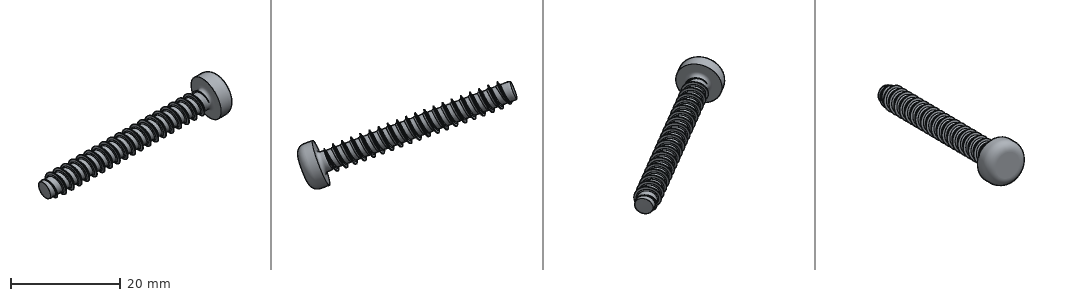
import cadquery as cq
import math


total_length = 41.5
full_turns = 18
full_turns_length = 32.4
pitch = full_turns_length / full_turns

head_radius = 4.4
head_height = 3.5
head_round = 1.8

shank_length = total_length - head_height
neck_radius = 1.95
neck_fillet = 0.7
neck_end_depth = 1.25
core_radius = 1.83
core_start_depth = 1.75
tip_chamfer_length = 0.37
tip_chamfer_width = 0.1
tip_point_height = 0.1

crest_radius = 2.5
crest_half_width = 0.1
kink_radius = 2.05
kink_half_width = 0.185
foot_radius = 1.65
foot_head_width = 0.9
foot_tip_width = 0.5

first_top_depth = 1.08
run_in_length = 2.0
run_out_length = 2.07
thread_end_gap = 0.15
faded_scale = 0.05
points_per_turn = 24

thread_start = 0.12
full_start = thread_start + run_in_length
thread_end = shank_length - thread_end_gap
full_end = thread_end - run_out_length


def make_blank():
    """Head, neck and core as one turned body."""
    tip_edge = -shank_length + tip_point_height
    head_arc_inset = head_round * (1 - math.sqrt(0.5))
    neck_arc_inset = neck_fillet * (1 - math.sqrt(0.5))
    half_outline = (
        cq.Workplane("YZ")
        .moveTo(head_height, 0)
        .lineTo(head_height, head_radius - head_round)
        .threePointArc(
            (head_height - head_arc_inset, head_radius - head_arc_inset),
            (head_height - head_round, head_radius),
        )
        .lineTo(0, head_radius)
        .lineTo(0, neck_radius + neck_fillet)
        .threePointArc(
            (-neck_arc_inset, neck_radius + neck_arc_inset),
            (-neck_fillet, neck_radius),
        )
        .lineTo(-neck_end_depth, neck_radius)
        .lineTo(-core_start_depth, core_radius)
        .lineTo(tip_edge + tip_chamfer_length, core_radius)
        .lineTo(tip_edge, core_radius - tip_chamfer_width)
        .lineTo(-shank_length, 0)
        .close()
    )
    return half_outline.revolve(360, (0, 0, 0), (1, 0, 0))


def helix_edge(radius, offset, start, end, start_scale, end_scale):
    """Right-hand helix for one section corner, with the section scaled along the run."""
    count = math.ceil(points_per_turn * (end - start) / pitch)
    points = []
    for i in range(count + 1):
        share = i / count
        depth = start + (end - start) * share
        scale = start_scale + (end_scale - start_scale) * share
        angle = 2 * math.pi * (depth - first_top_depth) / pitch
        local_radius = foot_radius + (radius - foot_radius) * scale
        x = -local_radius * math.sin(angle)
        y = -(depth + offset * scale)
        z = local_radius * math.cos(angle)
        points.append(cq.Vector(x, y, z))
    return cq.Edge.makeSpline(points)


def make_ridge(start, end, start_scale, end_scale):
    """Stretch of thread ridge between two depths, bounded by ruled faces and end caps."""
    corners = [
        (foot_radius, -foot_head_width),
        (kink_radius, -kink_half_width),
        (crest_radius, -crest_half_width),
        (crest_radius, crest_half_width),
        (kink_radius, kink_half_width),
        (foot_radius, foot_tip_width),
    ]
    edges = [
        helix_edge(radius, offset, start, end, start_scale, end_scale)
        for radius, offset in corners
    ]
    faces = [
        cq.Face.makeRuledSurface(edge, following)
        for edge, following in zip(edges, edges[1:] + edges[:1])
    ]
    for outline in (
        [edge.startPoint() for edge in edges],
        [edge.endPoint() for edge in edges],
    ):
        faces.append(cq.Face.makeFromWires(cq.Wire.makePolygon(outline, close=True)))
    return cq.Solid.makeSolid(cq.Shell.makeShell(faces))


full_thread = make_ridge(full_start, full_end, 1, 1)
run_in = make_ridge(thread_start, full_start, faded_scale, 1)
run_out = make_ridge(full_end, thread_end, 1, faded_scale)

result = make_blank()
for ridge in (full_thread, run_in, run_out):
    result = result.union(cq.Workplane(ridge))